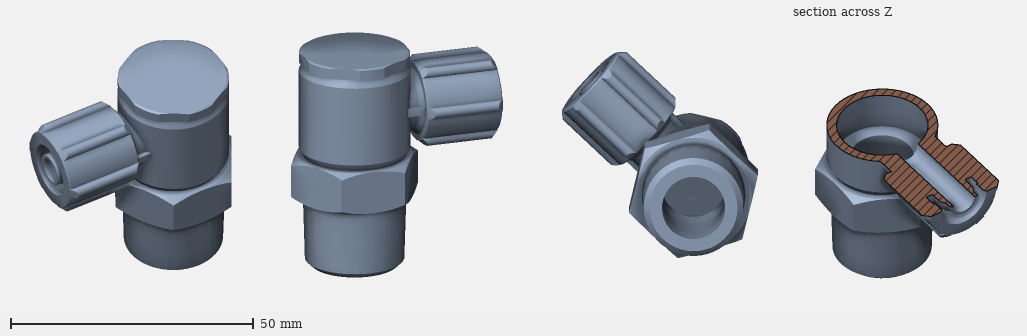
import cadquery as cq
import math

threadChamferTop = 1.15
hexBottom = 14.93
hexTop = 24.05
barrelBottom = 25.55
barrelTop = 42.4
capBottom = 44.1
capTop = 46.5
branchLevel = 34.0

threadEndRadius = 9.05
threadSmallRadius = 10.28
threadLargeRadius = 10.7
hexAcrossFlats = 24.0
hexChamferAngle = 30
halfFlatAngle = 30
hexCornerRadius = hexAcrossFlats / 2 / math.cos(math.radians(halfFlatAngle))

barrelRadius = 11.55
barrelNeckRadius = 10.7
capRadius = 11.5
capAcrossFlats = 22.05
capChamfer = 0.45
capChamferHeight = 0.25
cavityRadius = 9.4
outletRadius = 6.5

overallDepth = 43.35
nutEnd = overallDepth - hexCornerRadius
nutLength = 16.45
nutStart = nutEnd - nutLength
neckRadius = 5.95
collarRadius = 6.95
collarLength = 1.05
tabThickness = 1.67

nutRadius = 8.35
nutChamfer = 0.25
ridgeCount = 6
ridgeRadius = 1.15
ridgeCentreRadius = 8.5
ridgeTipRadius = ridgeCentreRadius + ridgeRadius
ridgeEndChamfer = 1.3

mouthRadius = 5.63
mouthChamferDepth = 0.75
recessRadius = 5.25
recessStepDepth = 3.25
recessDepth = 5.6
spigotTipRadius = 3.25
spigotRadius = 3.4
spigotTipChamfer = spigotRadius - spigotTipRadius
spigotBaseRadius = 4.15
spigotStraight = 1.4
spigotFlareEnd = 2.8
boreRadius = 2.65


def turned(profile):
    """Solid turned about Z from (radius, level) points, closed along the axis."""
    points = [(0, profile[0][1])] + profile + [(0, profile[-1][1])]
    return cq.Workplane("XZ").polyline(points).close().revolve(360, (0, 0, 0), (0, 1, 0))


def on_branch(shape):
    """Lay a solid built along Z onto the branch axis, so that its +Z points towards -Y."""
    return shape.rotate((0, 0, 0), (1, 0, 0), 90).translate((0, 0, branchLevel))


def cylinder(radius, start, end):
    return turned([(radius, start), (radius, end)])


def hex_prism(acrossFlats, bottom, top):
    """Upright hexagonal prism with two flats facing +X and -X."""
    cornerDiameter = acrossFlats / math.cos(math.radians(halfFlatAngle))
    prism = cq.Workplane("XY").workplane(offset=bottom).polygon(6, cornerDiameter).extrude(top - bottom)
    return prism.rotate((0, 0, 0), (0, 0, 1), halfFlatAngle)


def make_thread():
    return turned([
        (threadEndRadius, 0),
        (threadSmallRadius, threadChamferTop),
        (threadLargeRadius, hexBottom),
    ])


def make_hexagon():
    flatRadius = hexAcrossFlats / 2
    drop = (hexCornerRadius - flatRadius) * math.tan(math.radians(hexChamferAngle))
    envelope = turned([
        (flatRadius, hexBottom),
        (hexCornerRadius, hexBottom + drop),
        (hexCornerRadius, hexTop - drop),
        (flatRadius, hexTop),
    ])
    return hex_prism(hexAcrossFlats, hexBottom, hexTop).intersect(envelope)


def make_barrel():
    return turned([
        (barrelNeckRadius, hexTop),
        (barrelRadius, barrelBottom),
        (barrelRadius, barrelTop),
        (barrelNeckRadius, capBottom),
    ])


def make_cap():
    envelope = turned([
        (capRadius, capBottom),
        (capRadius, capTop - capChamferHeight),
        (capRadius - capChamfer, capTop),
    ])
    flats = hex_prism(capAcrossFlats, capBottom, capTop).rotate((0, 0, 0), (0, 0, 1), halfFlatAngle)
    return envelope.intersect(flats)


def make_neck():
    """Round neck with a conical collar and one flat tab on each side, built along Z."""
    neck = turned([
        (neckRadius, 0),
        (neckRadius, nutStart - collarLength),
        (collarRadius, nutStart),
    ])
    tabs = cylinder(collarRadius, 0, nutStart).intersect(
        cq.Workplane("XY").box(2 * collarRadius, tabThickness, 2 * nutStart)
    )
    return neck.union(tabs)


def make_nut():
    """Ribbed union nut, built along Z."""
    nut = turned([
        (nutRadius - nutChamfer, nutStart),
        (nutRadius, nutStart + nutChamfer),
        (nutRadius, nutEnd - nutChamfer),
        (nutRadius - nutChamfer, nutEnd),
    ])
    ridgeEndRadius = ridgeTipRadius - ridgeEndChamfer
    envelope = turned([
        (ridgeEndRadius, nutStart),
        (ridgeTipRadius, nutStart + ridgeEndChamfer),
        (ridgeTipRadius, nutEnd - ridgeEndChamfer),
        (ridgeEndRadius, nutEnd),
    ])
    ridges = (
        cq.Workplane("XY").workplane(offset=nutStart)
        .polarArray(ridgeCentreRadius, 0, 360, ridgeCount)
        .circle(ridgeRadius)
        .extrude(nutLength)
    )
    return nut.union(ridges.intersect(envelope))


def make_recess():
    """Chamfered hose recess, undercut behind its inner edge, built along Z."""
    return turned([
        (mouthRadius, nutEnd),
        (recessRadius, nutEnd - mouthChamferDepth),
        (recessRadius, nutEnd - recessStepDepth),
        (mouthRadius, nutEnd - recessStepDepth),
        (mouthRadius, nutEnd - recessDepth),
    ])


def make_spigot():
    """Hose spigot that flares towards the recess floor, built along Z."""
    return turned([
        (spigotBaseRadius, nutEnd - recessDepth),
        (spigotBaseRadius, nutEnd - spigotFlareEnd),
        (spigotRadius, nutEnd - spigotStraight),
        (spigotRadius, nutEnd - spigotTipChamfer),
        (spigotTipRadius, nutEnd),
    ])


body = make_thread().union(make_hexagon()).union(make_barrel()).union(make_cap())
body = body.union(on_branch(make_neck())).union(on_branch(make_nut()))
body = body.cut(on_branch(make_recess())).union(on_branch(make_spigot()))

chamber = cylinder(cavityRadius, barrelBottom, barrelTop)
outlet = cylinder(outletRadius, 0, barrelBottom)
bore = on_branch(cylinder(boreRadius, 0, nutEnd))
result = body.cut(chamber).cut(outlet).cut(bore)